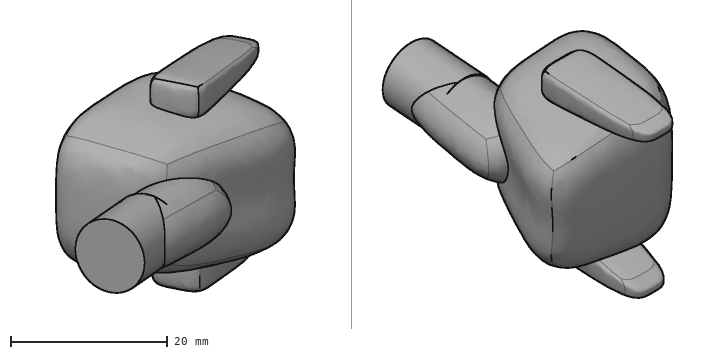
import cadquery as cq
import math


post_diameter = 10.0
post_length = 10.0

head_left_front = (-18.05, 12.85, 10.65)
head_left_back = (-13.75, 38.6, 14.7)
head_right_front = (0.75, 13.2, 8.8)
head_right_back = (11.5, 37.25, 10.1)
head_section_power = 3.9
head_length_power = 3.5
head_dent_depth = 0.75
head_dent_side_power = 3
head_dent_valley_power = 7

neck_front_y = 2.4
neck_back_y = 23.2
neck_front_x = (-5.75, 5.2)
neck_back_x = (-4.55, 7.6)
neck_front_half_height = 4.85
neck_back_half_height = 5.15
neck_section_power = 1.8
neck_length_power = 3.4

ear_front_half_width = 4.1
ear_tip_half_width = 3.55
ear_front_y = 23.75
ear_section_power = 4.4
ear_length_power = 4.3
ear_end_shift = 0.3
upper_ear_center_x = -3.65
upper_ear_tip_y = 43.4
upper_ear_front_z = (9.67, 15.1)
upper_ear_tip_z = (12.35, 14.85)
lower_ear_center_x = -3.43
lower_ear_tip_y = 41.9
lower_ear_front_z = (-7.0, -14.15)
lower_ear_tip_z = (-11.65, -13.92)

face_steps = 16
face_degree = 3
fit_tolerance = 0.02
sew_tolerance = 0.05


def rounded_point(direction, section_power, length_power):
    """Point of the unit superellipsoid along a direction; its long axis is Y."""
    a, b, c = (abs(value) for value in direction)
    section = (a**section_power + c**section_power) ** (length_power / section_power)
    scale = (section + b**length_power) ** (-1 / length_power)
    return tuple(value * scale for value in direction)


def map_into_cage(point, cage):
    """Trilinear map from the cube of side 2 to the cage {(sign x, sign y, sign z): corner}."""
    mapped = [0.0, 0.0, 0.0]
    for signs, corner in cage.items():
        weight = math.prod((1 + sign * value) / 2 for sign, value in zip(signs, point))
        for axis in range(3):
            mapped[axis] += weight * corner[axis]
    return mapped


def rounded_block(cage, section_power, length_power, dent_depth=0.0, end_shift=0.0):
    """Smooth solid of six faces that fills a cage of eight corners.

    The section power sets how square the X-Z sections are, the length power how blunt the ends are.
    A dent is a shallow valley at mid-height of the +X face.
    An end shift moves the rounding towards -Y: a crisper front end and a longer back end.
    """
    grid = [math.tan(math.pi / 4 * (2 * step / face_steps - 1)) for step in range(face_steps + 1)]

    def surface_point(direction):
        a, b, c = rounded_point(direction, section_power, length_power)
        mapped = map_into_cage((a, b - end_shift * (1 - b**2), c), cage)
        mapped[0] -= dent_depth * max(a, 0) ** head_dent_side_power * (1 - c**2) ** head_dent_valley_power
        return cq.Vector(*mapped)

    faces = []
    for axis in range(3):
        for side in (-1, 1):
            rows = []
            for p in grid:
                row = []
                for q in grid:
                    direction = [p, q]
                    direction.insert(axis, side)
                    row.append(surface_point(direction))
                rows.append(row)
            face = cq.Face.makeSplineApprox(
                rows, tol=fit_tolerance, minDeg=face_degree, maxDeg=face_degree
            )
            faces.append(face)
    shell = cq.occ_impl.shapes.shell(faces, tol=sew_tolerance)
    return cq.Workplane(cq.occ_impl.shapes.solid(shell))


def make_post():
    return cq.Workplane("XZ").circle(post_diameter / 2).extrude(-post_length)


def make_head():
    outline = {
        (-1, -1): head_left_front,
        (-1, 1): head_left_back,
        (1, -1): head_right_front,
        (1, 1): head_right_back,
    }
    cage = {}
    for (side_x, side_y), (x, y, half_height) in outline.items():
        for side_z in (-1, 1):
            cage[(side_x, side_y, side_z)] = (x, y, side_z * half_height)
    return rounded_block(cage, head_section_power, head_length_power, head_dent_depth)


def make_neck():
    ends = {
        -1: (neck_front_x, neck_front_y, neck_front_half_height),
        1: (neck_back_x, neck_back_y, neck_back_half_height),
    }
    cage = {}
    for side_y, (x_range, y, half_height) in ends.items():
        for side_x, x in zip((-1, 1), x_range):
            for side_z in (-1, 1):
                cage[(side_x, side_y, side_z)] = (x, y, side_z * half_height)
    return rounded_block(cage, neck_section_power, neck_length_power)


def make_ear(center_x, tip_y, front_z, tip_z):
    """Ear whose Z pairs run from the head outwards."""
    side = math.copysign(1, front_z[0])
    cage = {}
    for side_y, y, z_pair in ((-1, ear_front_y, front_z), (1, tip_y, tip_z)):
        half_width = ear_front_half_width if side_y < 0 else ear_tip_half_width
        for side_z, z in zip((-side, side), z_pair):
            for side_x in (-1, 1):
                cage[(side_x, side_y, side_z)] = (center_x + side_x * half_width, y, z)
    return rounded_block(cage, ear_section_power, ear_length_power, end_shift=ear_end_shift)


post = make_post()
head = make_head()
neck = make_neck().cut(post).cut(head)
upper_ear = make_ear(upper_ear_center_x, upper_ear_tip_y, upper_ear_front_z, upper_ear_tip_z).cut(head)
lower_ear = make_ear(lower_ear_center_x, lower_ear_tip_y, lower_ear_front_z, lower_ear_tip_z).cut(head)

bodies = (post, head, neck, upper_ear, lower_ear)
result = cq.Compound.makeCompound([solid for body in bodies for solid in body.solids().vals()])